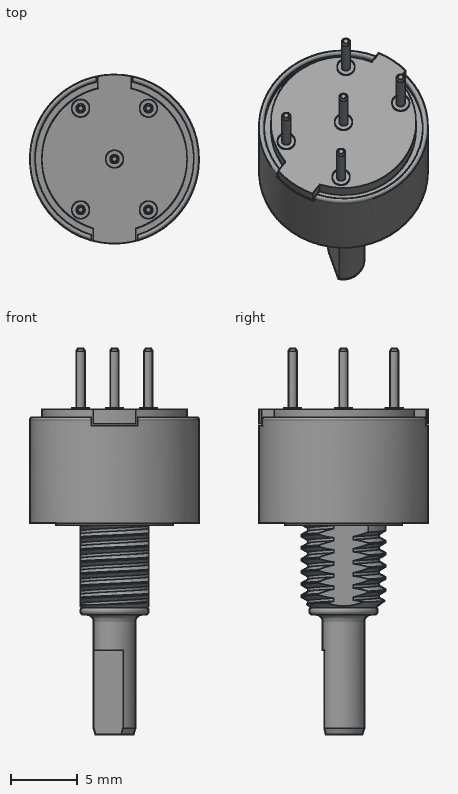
import cadquery as cq
import math


HOUSING_RADIUS = 12.7 / 2
HOUSING_HEIGHT = 7.94
RIM_INNER_RADIUS = 5.95
RECESS_DEPTH = 0.64
RECESS_FLOOR = HOUSING_HEIGHT - RECESS_DEPTH
MOUNT_PAD_RADIUS = 4.4
MOUNT_PAD_HEIGHT = 0.17

CAP_RADIUS = 5.45
CAP_TOP = 8.55
FRONT_TAB_WIDTH = 3.2
BACK_TAB_WIDTH = 2.5
TABS = ((FRONT_TAB_WIDTH, -1), (BACK_TAB_WIDTH, 1))
TAB_CLEARANCE = 0.13

PIN_RADIUS = 0.33
PIN_TOP = 13.1
PIN_CHAMFER_RADIAL = 0.13
PIN_CHAMFER_LENGTH = 0.2
PIN_PITCH_X = 5.08
PIN_PITCH_Y = 7.62
PIN_COLLAR_RADIUS = 0.66
PIN_COLLAR_HEIGHT = 0.1

THREAD_RADIUS = 6.35 / 2
THREAD_PITCH = 25.4 / 28
THREAD_FLANK_ANGLE = 30
THREAD_TURNS = 7
THREAD_TOP = -0.27
FLAT_HALF_WIDTH = 2.58
BUSHING_CHAMFER_TOP = -5.78

RING_RADIUS = 2.58
RING_ROUND = 0.3
RING_CENTER_RADIUS = RING_RADIUS - RING_ROUND
RING_CENTER_Z = -6.6
RING_START_ANGLE = math.radians(60)
SHAFT_FILLET_RADIUS = 0.45

NECK_RADIUS = RING_CENTER_RADIUS + RING_ROUND * math.cos(RING_START_ANGLE)
BUSHING_END = RING_CENTER_Z + RING_ROUND * math.sin(RING_START_ANGLE)

SHAFT_RADIUS = 3.175 / 2
SHAFT_END = -15.88
SHAFT_CHAMFER_RADIAL = 0.16
SHAFT_CHAMFER_LENGTH = 0.5
D_FLAT_TOP = -9.53
D_FLAT_DISTANCE = SHAFT_RADIUS / 2
D_FLAT_ANGLE = 234.0

TAB_OVERLAP = 1.0
GROOVE_OVERSHOOT = 0.05


def cylinder(radius, bottom, top):
    return cq.Workplane("XY").workplane(offset=bottom).circle(radius).extrude(top - bottom)


def box(x_min, x_max, y_min, y_max, z_min, z_max):
    size = (x_max - x_min, y_max - y_min, z_max - z_min)
    return cq.Workplane("XY").box(*size, centered=False).translate((x_min, y_min, z_min))


def tab_block(width, side, bottom, top):
    """Block on the -Y (side = -1) or +Y (side = 1) edge, cut to the housing radius."""
    y_far = side * HOUSING_RADIUS
    y_near = side * (CAP_RADIUS - TAB_OVERLAP)
    block = box(-width / 2, width / 2, min(y_far, y_near), max(y_far, y_near), bottom, top)
    return block.intersect(cylinder(HOUSING_RADIUS, bottom, top))


def make_housing():
    rim_round = (HOUSING_RADIUS - RIM_INNER_RADIUS) / 2
    rim_shoulder = HOUSING_HEIGHT - rim_round
    housing = (
        cq.Workplane("XZ")
        .lineTo(HOUSING_RADIUS, 0)
        .lineTo(HOUSING_RADIUS, rim_shoulder)
        .threePointArc((HOUSING_RADIUS - rim_round, HOUSING_HEIGHT), (RIM_INNER_RADIUS, rim_shoulder))
        .lineTo(RIM_INNER_RADIUS, RECESS_FLOOR)
        .lineTo(0, RECESS_FLOOR)
        .close()
        .revolve()
    )
    for width, side in TABS:
        notch_width = width + 2 * TAB_CLEARANCE
        housing = housing.cut(tab_block(notch_width, side, RECESS_FLOOR, HOUSING_HEIGHT))
    return housing.union(cylinder(MOUNT_PAD_RADIUS, -MOUNT_PAD_HEIGHT, 0))


def make_cap():
    cap = cylinder(CAP_RADIUS, RECESS_FLOOR, CAP_TOP)
    for width, side in TABS:
        cap = cap.union(tab_block(width, side, RECESS_FLOOR + TAB_CLEARANCE, CAP_TOP))
    return cap


def make_pin(x, y):
    shank_top = PIN_TOP - PIN_CHAMFER_LENGTH
    profile = [
        (0, RECESS_FLOOR),
        (PIN_COLLAR_RADIUS, RECESS_FLOOR),
        (PIN_COLLAR_RADIUS, CAP_TOP + PIN_COLLAR_HEIGHT),
        (PIN_RADIUS, CAP_TOP + PIN_COLLAR_HEIGHT),
        (PIN_RADIUS, shank_top),
        (PIN_RADIUS - PIN_CHAMFER_RADIAL, PIN_TOP),
        (0, PIN_TOP),
    ]
    return cq.Workplane("XZ").polyline(profile).close().revolve().translate((x, y, 0))


def make_thread_groove():
    """Right-hand V groove of unified thread form: depth 5/8 of the sharp V height, root pitch / 4."""
    flank_slope = math.tan(math.radians(THREAD_FLANK_ANGLE))
    depth = 5 / 8 * THREAD_PITCH / (2 * flank_slope)
    root_half = THREAD_PITCH / 8
    mouth_half = root_half + (depth + GROOVE_OVERSHOOT) * flank_slope
    root_radius = THREAD_RADIUS - depth
    mouth_radius = THREAD_RADIUS + GROOVE_OVERSHOOT
    length = THREAD_TURNS * THREAD_PITCH
    helix = cq.Wire.makeHelix(THREAD_PITCH, length, root_radius)
    profile = cq.Workplane("XZ").polyline([
        (root_radius, -root_half),
        (mouth_radius, -mouth_half),
        (mouth_radius, mouth_half),
        (root_radius, root_half),
    ]).close()
    groove = profile.sweep(cq.Workplane(helix), isFrenet=True)
    return groove.translate((0, 0, THREAD_TOP - length))


def make_bushing():
    profile = [
        (0, 0),
        (THREAD_RADIUS, 0),
        (THREAD_RADIUS, BUSHING_CHAMFER_TOP),
        (NECK_RADIUS, BUSHING_END),
        (0, BUSHING_END),
    ]
    bushing = cq.Workplane("XZ").polyline(profile).close().revolve()
    bushing = bushing.cut(make_thread_groove())
    flats = box(-FLAT_HALF_WIDTH, FLAT_HALF_WIDTH, -THREAD_RADIUS, THREAD_RADIUS, BUSHING_END, 0)
    return bushing.intersect(flats)


def make_shaft():
    ring_bottom = RING_CENTER_Z - RING_ROUND
    fillet_end = ring_bottom - SHAFT_FILLET_RADIUS
    fillet_sag = SHAFT_FILLET_RADIUS * (1 - math.sqrt(0.5))
    shaft = (
        cq.Workplane("XZ")
        .moveTo(0, BUSHING_END)
        .lineTo(NECK_RADIUS, BUSHING_END)
        .threePointArc((RING_RADIUS, RING_CENTER_Z), (RING_CENTER_RADIUS, ring_bottom))
        .lineTo(SHAFT_RADIUS + SHAFT_FILLET_RADIUS, ring_bottom)
        .threePointArc((SHAFT_RADIUS + fillet_sag, ring_bottom - fillet_sag), (SHAFT_RADIUS, fillet_end))
        .lineTo(SHAFT_RADIUS, SHAFT_END + SHAFT_CHAMFER_LENGTH)
        .lineTo(SHAFT_RADIUS - SHAFT_CHAMFER_RADIAL, SHAFT_END)
        .lineTo(0, SHAFT_END)
        .close()
        .revolve()
    )
    d_cut = box(D_FLAT_DISTANCE, SHAFT_RADIUS, -SHAFT_RADIUS, SHAFT_RADIUS, SHAFT_END, D_FLAT_TOP)
    return shaft.cut(d_cut.rotate((0, 0, 0), (0, 0, 1), D_FLAT_ANGLE))


result = make_housing().union(make_cap()).union(make_bushing()).union(make_shaft())
pin_positions = [(0, 0)]
for x_side in (-1, 1):
    for y_side in (-1, 1):
        pin_positions.append((x_side * PIN_PITCH_X / 2, y_side * PIN_PITCH_Y / 2))
for pin_x, pin_y in pin_positions:
    result = result.union(make_pin(pin_x, pin_y))